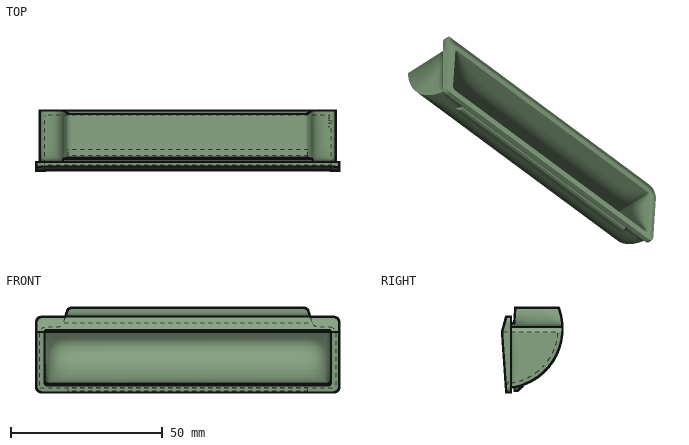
import cadquery as cq
import math

length = 100.0
flange_height = 25.0
flange_edge_thickness = 1.6
ridge_depth = 3.0
ridge_height = 20.0
flange_corner_radius = 2.0

height = 28.0
housing_depth = 17.0
housing_length = 97.6
curve_center_y = -2.6
curve_center_z = 21.0
curve_radius = housing_depth - curve_center_y
shoulder_height = 21.6
shoulder_radius = 2.1

block_top_length = 78.8
block_end_slope = 18.0
block_top_radius = 1.7
block_foot_radius = 2.2
block_front_top = 1.4
block_front_foot = 1.0
block_front_ledge = 22.9

wall = 1.5
opening_length = 94.4
opening_bottom = 2.3
opening_top = 20.8
opening_corner_radius = 1.2
recess_end_radius = 1.2
recess_ceiling = 20.0
bevel_top_back = 2.4
bevel_bottom_back = 1.0
bevel_bottom_front = 1.8
bevel_bottom_top = 3.0

rib_front = 1.1
rib_back = 4.0
rib_bottom = 0.5
rib_bottom_length = 1.0


def side_outline(points, x_length):
    """Extrude a (y, z) outline symmetrically along X."""
    return cq.Workplane("YZ").polyline(points).close().extrude(x_length / 2, both=True)


def curved_bar(radius, x_length):
    """Cylinder along X about the housing curve's axis."""
    return (
        cq.Workplane("YZ")
        .center(curve_center_y, curve_center_z)
        .circle(radius)
        .extrude(x_length / 2, both=True)
    )


def make_flange():
    profile = [
        (0, 0),
        (-flange_edge_thickness, 0),
        (-ridge_depth, ridge_height),
        (-flange_edge_thickness, flange_height),
        (0, flange_height),
    ]
    return side_outline(profile, length).edges("|Y").fillet(flange_corner_radius)


def make_housing():
    """Stepped front shape, trimmed to the curved back."""
    half_top = block_top_length / 2
    slope_run = (height - shoulder_height) * math.tan(math.radians(block_end_slope))
    half_foot = half_top + slope_run
    half_body = housing_length / 2
    outline = [
        (-half_body, 0),
        (half_body, 0),
        (half_body, shoulder_height),
        (half_foot, shoulder_height),
        (half_top, height),
        (-half_top, height),
        (-half_foot, shoulder_height),
        (-half_body, shoulder_height),
    ]
    stepped = cq.Workplane("XZ").polyline(outline).close().extrude(-housing_depth)

    def round_ends(body, x, z, radius):
        for side in (-1, 1):
            picker = cq.selectors.NearestToPointSelector((side * x, housing_depth / 2, z))
            body = body.edges(picker).fillet(radius)
        return body

    stepped = round_ends(stepped, half_body, shoulder_height, shoulder_radius)
    stepped = round_ends(stepped, half_foot, shoulder_height, block_foot_radius)
    stepped = round_ends(stepped, half_top, height, block_top_radius)

    front_gap = side_outline(
        [
            (0, block_front_ledge),
            (block_front_foot, block_front_ledge),
            (block_front_top, height),
            (0, height),
        ],
        half_foot * 2 + block_foot_radius,
    )
    return stepped.intersect(curved_bar(curve_radius, length)).cut(front_gap)


def make_recess():
    """Finger recess, with a ceiling, a beveled mouth and rounded ends on its curved floor."""
    opening_height = opening_top - opening_bottom
    mouth = (
        cq.Workplane("XZ")
        .center(0, opening_bottom + opening_height / 2)
        .rect(opening_length, opening_height)
        .extrude(housing_depth + ridge_depth, both=True)
        .edges("|Y")
        .fillet(opening_corner_radius)
    )
    hollow = curved_bar(curve_radius - wall, opening_length).edges().fillet(recess_end_radius)
    below_ceiling = side_outline(
        [
            (-ridge_depth, 0),
            (housing_depth, 0),
            (housing_depth, recess_ceiling),
            (-ridge_depth, recess_ceiling),
        ],
        length,
    )
    bevel = side_outline(
        [
            (-ridge_depth, opening_bottom),
            (-bevel_bottom_front, opening_bottom),
            (-bevel_bottom_back, bevel_bottom_top),
            (-bevel_top_back, recess_ceiling),
            (-ridge_depth, opening_top),
        ],
        length,
    )
    return hollow.intersect(below_ceiling).union(bevel).intersect(mouth)


def make_rib():
    rib_top = opening_bottom + wall / 2
    profile = [
        (rib_front, rib_top),
        (rib_front, rib_bottom),
        (rib_front + rib_bottom_length, rib_bottom),
        (rib_back, opening_bottom),
        (rib_back, rib_top),
    ]
    return side_outline(profile, block_top_length).cut(curved_bar(curve_radius - wall / 2, length))


result = make_flange().union(make_housing()).union(make_rib()).cut(make_recess())